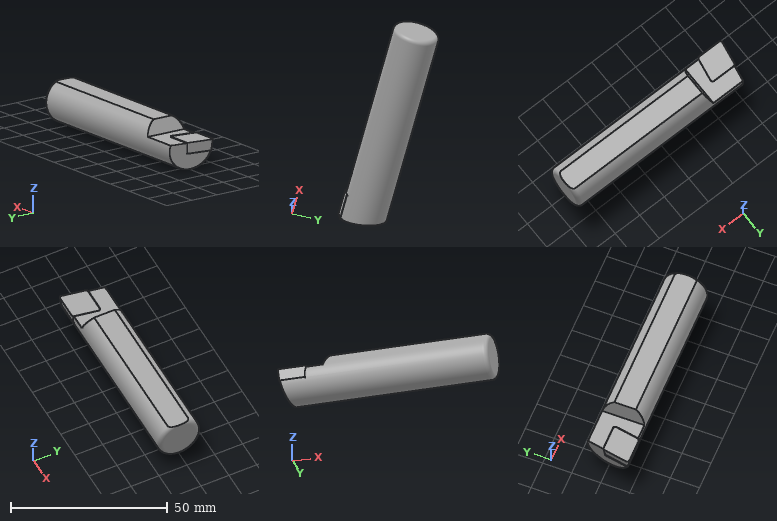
import cadquery as cq
import math

overall_length = 70.0
shank_radius = 7.5
flat_height = 6.5
end_fillet = 1.6

ledge_height = 1.7
ledge_length = 15.0
step_run = 1.7

insert_top = 1.9
insert_thickness = 3.85
insert_front = -7.85
insert_width = 9.45
lead_angle = 10.0
clearance_angle = 7.0
corner_radius = 0.8

relief_flare_x = 9.1
relief_end_x = 10.4
relief_depth = 0.155

face_setback = 0.3

lead = math.radians(lead_angle)
clearance = math.radians(clearance_angle)

sharp_corner_x = corner_radius * (1 - 1 / math.cos(lead) - math.tan(lead))


def end_edge_x(y):
    """X of the insert's end edge, extended along Y, at the insert's top."""
    return sharp_corner_x + (y - insert_front) * math.tan(lead)


def make_insert():
    back = insert_front + insert_width
    edge_length = insert_width / math.cos(lead)
    corners = [
        (end_edge_x(insert_front), insert_front),
        (end_edge_x(insert_front) + edge_length, insert_front),
        (end_edge_x(back) + edge_length, back),
        (end_edge_x(back), back),
    ]
    outline = cq.Sketch().polygon(corners + corners[:1]).vertices().fillet(corner_radius)
    return (
        cq.Workplane("XY", origin=(0, 0, insert_top))
        .placeSketch(outline)
        .extrude(-insert_thickness, taper=clearance_angle)
    )


def make_step_cutter():
    """Prism above the ledge, bounded by the slope up to the flat."""
    slope = step_run / (flat_height - ledge_height)
    cutter_top = 2 * shank_radius
    slope_top_x = ledge_length + slope * (cutter_top - ledge_height)
    return (
        cq.Workplane("XZ")
        .polyline([
            (-shank_radius, ledge_height),
            (ledge_length, ledge_height),
            (slope_top_x, cutter_top),
            (-shank_radius, cutter_top),
        ])
        .close()
        .extrude(2 * shank_radius, both=True)
    )


def make_end_cutter():
    """Block in front of the end face, which leans by the lead and clearance angles."""
    face_x = end_edge_x(0) + face_setback
    outward = cq.Vector(-math.cos(lead), math.sin(lead), -math.tan(clearance))
    along_edge = (math.sin(lead), math.cos(lead), 0)
    face = cq.Plane(origin=(face_x, 0, insert_top), xDir=along_edge, normal=outward)
    block_side = 6 * shank_radius
    return cq.Workplane(face).rect(block_side, block_side).extrude(block_side)


def make_corner_relief():
    """Thin prism parallel to the insert's front wall, flaring out through the shank."""
    downward = (0, math.sin(clearance), -math.cos(clearance))
    section = cq.Plane(origin=(0, insert_front, insert_top), xDir=(1, 0, 0), normal=downward)
    return (
        cq.Workplane(section)
        .polyline([
            (0, -relief_depth),
            (relief_flare_x, -relief_depth),
            (relief_end_x, 0),
            (0, 0),
        ])
        .close()
        .extrude(insert_thickness)
    )


def make_shank(insert):
    shank = (
        cq.Workplane("YZ")
        .circle(shank_radius)
        .extrude(overall_length)
        .faces(">X")
        .edges()
        .fillet(end_fillet)
    )
    above_flat = (
        cq.Workplane("XY", origin=(0, 0, flat_height))
        .rect(2 * overall_length, 2 * shank_radius)
        .extrude(shank_radius)
    )
    return (
        shank.cut(above_flat)
        .cut(make_step_cutter())
        .cut(make_end_cutter())
        .cut(make_corner_relief())
        .cut(insert)
    )


insert = make_insert()
shank = make_shank(insert)

result = cq.Compound.makeCompound([shank.val(), insert.val()])